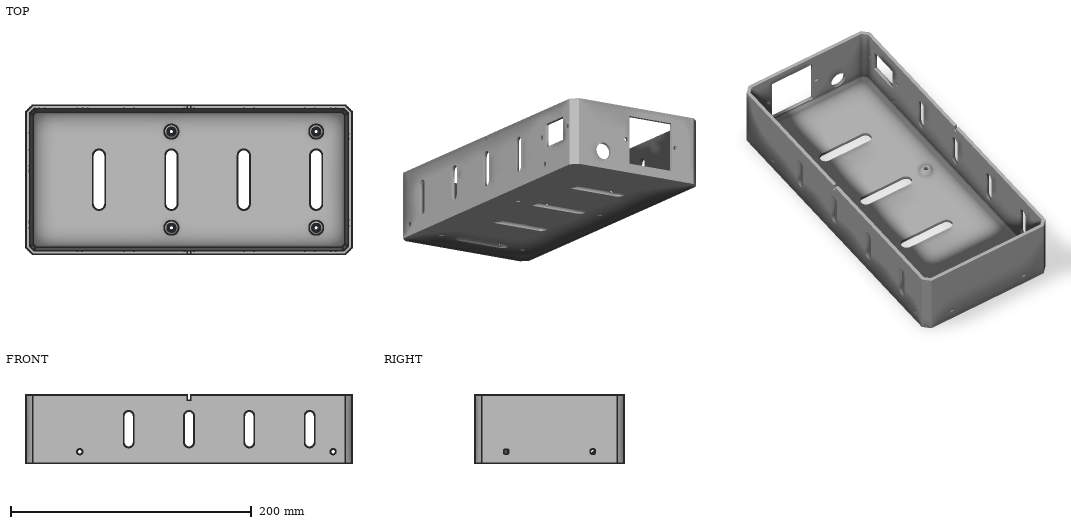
import cadquery as cq

LENGTH = 271.0
WIDTH = 124.0
HEIGHT = 57.0
WALL = 3.0
FLOOR = 3.0
CORNER_CHAMFER = 5.7
FLOOR_BEVEL = 3.0
MID_HEIGHT = HEIGHT / 2

WALL_SLOT_PITCH = 50.0
WALL_SLOT_LENGTH = 30.0
WALL_SLOT_WIDTH = 8.0
WALL_SLOT_STEPS = (-1, 0, 1, 2)

FLOOR_SLOT_PITCH = 60.2
FLOOR_SLOT_LENGTH = 50.0
FLOOR_SLOT_WIDTH = 10.0
FIRST_FLOOR_SLOT_X = -74.8
FLOOR_SLOT_COUNT = 4
STANDOFF_BASE_DIAMETER = 12.0
STANDOFF_TOP_DIAMETER = 7.0
STANDOFF_HEIGHT = 3.0
STANDOFF_HOLE_DIAMETER = 4.0
STANDOFF_SPACING_Y = 80.0

LID_HOLE_DIAMETER = 4.3
LID_HOLE_Z = 9.8
LID_HOLES_X = (-90.8, 119.8)
END_HOLE_Y = 36.0

NOTCH_WIDTH = 2.7
NOTCH_DEPTH = 4.3

SQUARE_SIDE = 41.2
SQUARE_Y = -14.0
SQUARE_SCREW_SPACING = 48.0
SQUARE_SCREW_DIAMETER = 3.5
CABLE_HOLE_DIAMETER = 14.0
CABLE_HOLE_Y = 32.0
CABLE_HOLE_Z = 15.0

SOCKET_WIDTH = 27.0
SOCKET_HEIGHT = 20.0
SOCKET_X = -106.2
SOCKET_Z = 34.0
SOCKET_SCREW_SPACING = 40.0
SOCKET_SCREW_DIAMETER = 4.0


def chamfered_block(length, width, height, corner, base_z):
    block = cq.Workplane("XY").workplane(offset=base_z).rect(length, width).extrude(height)
    return block.edges("|Z").chamfer(corner)


def tray():
    inner_corner = CORNER_CHAMFER - WALL * (2 - 2 ** 0.5)
    outer = chamfered_block(LENGTH, WIDTH, HEIGHT, CORNER_CHAMFER, 0)
    cavity = chamfered_block(LENGTH - 2 * WALL, WIDTH - 2 * WALL, HEIGHT, inner_corner, FLOOR)
    return outer.cut(cavity.faces("<Z").edges().chamfer(FLOOR_BEVEL))


def end_wall_plane(x):
    """Sketch plane facing +X, with local coordinates (Y, Z)."""
    return cq.Workplane("YZ", origin=(x, 0, 0))


def long_wall_plane(y):
    """Sketch plane facing -Y, with local coordinates (X, Z)."""
    return cq.Workplane("XZ", origin=(0, y, 0))


def long_wall_cutters():
    """Slots, screw holes and notches that run through both long walls."""
    plane = long_wall_plane(0)
    slots = plane.pushPoints([(step * WALL_SLOT_PITCH, MID_HEIGHT) for step in WALL_SLOT_STEPS])
    slots = slots.slot2D(WALL_SLOT_LENGTH, WALL_SLOT_WIDTH, 90).extrude(WIDTH, both=True)
    holes = plane.pushPoints([(x, LID_HOLE_Z) for x in LID_HOLES_X])
    holes = holes.circle(LID_HOLE_DIAMETER / 2).extrude(WIDTH, both=True)
    notches = plane.center(0, HEIGHT).rect(NOTCH_WIDTH, 2 * NOTCH_DEPTH).extrude(WIDTH, both=True)
    return [slots, holes, notches]


def near_end_cutters():
    """Square opening with two screw holes, and the cable hole, in the -X wall."""
    depth = CORNER_CHAMFER
    plane = end_wall_plane(-LENGTH / 2)
    square = plane.center(SQUARE_Y, MID_HEIGHT).rect(SQUARE_SIDE, SQUARE_SIDE).extrude(depth)
    screw_points = [(SQUARE_Y + side * SQUARE_SCREW_SPACING / 2, MID_HEIGHT) for side in (-1, 1)]
    screws = plane.pushPoints(screw_points).circle(SQUARE_SCREW_DIAMETER / 2).extrude(depth)
    cable = plane.center(CABLE_HOLE_Y, CABLE_HOLE_Z).circle(CABLE_HOLE_DIAMETER / 2).extrude(depth)
    return [square, screws, cable]


def far_end_cutters():
    """Pair of lid screw holes in the +X wall."""
    plane = end_wall_plane(LENGTH / 2 - CORNER_CHAMFER)
    holes = plane.pushPoints([(side * END_HOLE_Y, LID_HOLE_Z) for side in (-1, 1)])
    return [holes.circle(LID_HOLE_DIAMETER / 2).extrude(CORNER_CHAMFER)]


def socket_cutters():
    """Rectangular socket opening with two screw holes in the +Y wall."""
    depth = CORNER_CHAMFER
    plane = long_wall_plane(WIDTH / 2)
    opening = plane.center(SOCKET_X, SOCKET_Z).rect(SOCKET_WIDTH, SOCKET_HEIGHT).extrude(depth)
    screw_points = [(SOCKET_X + side * SOCKET_SCREW_SPACING / 2, SOCKET_Z) for side in (-1, 1)]
    screws = plane.pushPoints(screw_points).circle(SOCKET_SCREW_DIAMETER / 2).extrude(depth)
    return [opening, screws]


def standoffs(points):
    """Conical standoffs rising from the floor."""
    cone = cq.Solid.makeCone(STANDOFF_BASE_DIAMETER / 2, STANDOFF_TOP_DIAMETER / 2, STANDOFF_HEIGHT)
    return [cone.moved(cq.Location(cq.Vector(x, y, FLOOR))) for x, y in points]


def floor_cutters(slots_x, standoff_points):
    """Floor slots, and the holes through the standoffs and the floor below them."""
    plane = cq.Workplane("XY")
    slots = plane.pushPoints([(x, 0) for x in slots_x])
    slots = slots.slot2D(FLOOR_SLOT_LENGTH, FLOOR_SLOT_WIDTH, 90).extrude(FLOOR)
    holes = plane.pushPoints(standoff_points)
    holes = holes.circle(STANDOFF_HOLE_DIAMETER / 2).extrude(FLOOR + STANDOFF_HEIGHT)
    return [slots, holes]


floor_slots_x = [FIRST_FLOOR_SLOT_X + i * FLOOR_SLOT_PITCH for i in range(FLOOR_SLOT_COUNT)]
standoff_points = [(x, side * STANDOFF_SPACING_Y / 2) for x in floor_slots_x[1::2] for side in (-1, 1)]

result = tray()
for standoff in standoffs(standoff_points):
    result = result.union(cq.Workplane(standoff))

cutters = floor_cutters(floor_slots_x, standoff_points) + long_wall_cutters()
cutters += near_end_cutters() + far_end_cutters() + socket_cutters()
for cutter in cutters:
    result = result.cut(cutter)